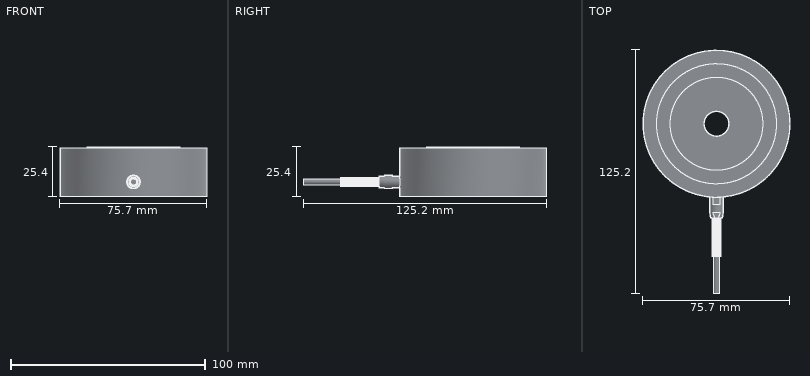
import cadquery as cq

BODY_DIAMETER = 75.7
BODY_HEIGHT = 25.0
BUTTON_DIAMETER = 47.8
BUTTON_RISE = 0.4
RECESS_DIAMETER = 61.8
RECESS_DEPTH = 3.4
BORE_DIAMETER = 12.6

OUTLET_HEIGHT = 7.5
TOTAL_LENGTH = 125.2
OUTLET_LENGTH = TOTAL_LENGTH - BODY_DIAMETER
ROOT_DEPTH = 1.3

GLAND_DIAMETER = 7.0
GLAND_TIP_DIAMETER = 6.3
GLAND_LENGTH = 10.5
GLAND_CONE_START = 8.1
FLAT_SPACING = 6.0
REAR_FLAT_END = 3.6
TIP_FLAT_START = 7.8

BOOT_DIAMETER = 4.8
BOOT_END = 30.4
RIB_COUNT = 46
RIB_PITCH = (BOOT_END - GLAND_LENGTH) / RIB_COUNT

CABLE_DIAMETER = 3.3


def disc(diameter, bottom, top):
    """Upright cylinder on the drum axis."""
    return cq.Workplane("XY").workplane(offset=bottom).circle(diameter / 2).extrude(top - bottom)


def make_body():
    """Drum with the ring-shaped recess around the load button."""
    floor = BODY_HEIGHT - RECESS_DEPTH
    drum = disc(BODY_DIAMETER, 0, BODY_HEIGHT)
    recess = disc(RECESS_DIAMETER, floor, BODY_HEIGHT)
    button = disc(BUTTON_DIAMETER, floor, BODY_HEIGHT + BUTTON_RISE)
    return drum.cut(recess).union(button)


def make_gland():
    """Turned gland with a conical tip and two pairs of wrench flats, along +Z."""
    radius = GLAND_DIAMETER / 2
    gland = (
        cq.Workplane("XZ")
        .moveTo(0, -ROOT_DEPTH)
        .lineTo(radius, -ROOT_DEPTH)
        .lineTo(radius, GLAND_CONE_START)
        .lineTo(GLAND_TIP_DIAMETER / 2, GLAND_LENGTH)
        .lineTo(0, GLAND_LENGTH)
        .close()
        .revolve(360, (0, 0, 0), (0, 1, 0))
    )
    for start, end in ((-ROOT_DEPTH, REAR_FLAT_END), (TIP_FLAT_START, GLAND_LENGTH)):
        for side in (-1, 1):
            cutter = cq.Workplane("XY").box(
                GLAND_DIAMETER, GLAND_DIAMETER, end - start, centered=(True, True, False)
            )
            cutter_offset = side * (FLAT_SPACING + GLAND_DIAMETER) / 2
            gland = gland.cut(cutter.translate((0, cutter_offset, start)))
    return gland


def make_boot():
    """Flexible boot of fine half-round ribs meeting in sharp valleys, along +Z."""
    crest = BOOT_DIAMETER / 2
    valley = crest - RIB_PITCH / 2
    profile = cq.Workplane("XZ").moveTo(0, GLAND_LENGTH).lineTo(valley, GLAND_LENGTH)
    for rib in range(RIB_COUNT):
        rib_start = GLAND_LENGTH + rib * RIB_PITCH
        profile = profile.threePointArc(
            (crest, rib_start + RIB_PITCH / 2), (valley, rib_start + RIB_PITCH)
        )
    return profile.lineTo(0, BOOT_END).close().revolve(360, (0, 0, 0), (0, 1, 0))


def make_cable():
    """Plain cable end leaving the boot, along +Z."""
    return cq.Workplane("XY").circle(CABLE_DIAMETER / 2).extrude(OUTLET_LENGTH)


def make_outlet():
    """Gland, boot and cable turned to leave the drum towards -Y."""
    outlet = make_gland().union(make_boot()).union(make_cable())
    turned = outlet.rotate((0, 0, 0), (1, 0, 0), 90)
    return turned.translate((0, -BODY_DIAMETER / 2, OUTLET_HEIGHT))


bore = disc(BORE_DIAMETER, 0, BODY_HEIGHT + BUTTON_RISE)
result = make_body().union(make_outlet()).cut(bore)